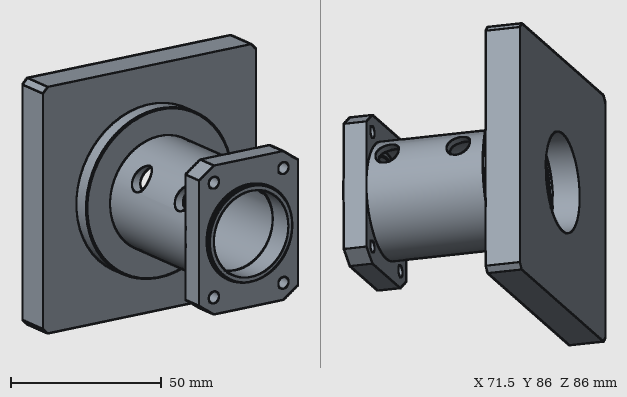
import cadquery as cq

plate_side = 86.0
plate_thickness = 12.0
plate_chamfer = 2.0

shoulder_diameter = 59.0
shoulder_end = 18.0
shoulder_chamfer = 0.35
tube_diameter = 40.0

flange_start = 62.0
flange_end = 70.0
flange_width = tube_diameter
flange_height = 51.95
flange_corner_y = 6.0
flange_corner_z = 4.1
lip_diameter = 34.0
lip_end = 71.5
lip_chamfer_length = 0.7
lip_chamfer_depth = 0.35

bore_diameter = lip_diameter
outlet_diameter = 30.0
outlet_start = 62.0
outlet_chamfer = 0.3
groove_start = 9.5
groove_width = 1.0
groove_diameter = 35.3

cross_hole_diameter = 8.0
cross_hole_height = 11.3
cross_hole_positions = (31.0, 56.0)
screw_hole_diameter = 4.1
screw_spacing_y = 28.0
screw_spacing_z = 40.0


def cylinder_along_x(diameter, start, end):
    return cq.Workplane("YZ", origin=(start, 0, 0)).circle(diameter / 2).extrude(end - start)


def make_plate():
    plate = cq.Workplane("YZ").rect(plate_side, plate_side).extrude(plate_thickness)
    return plate.edges("|X").chamfer(plate_chamfer)


def make_shoulder():
    shoulder = cylinder_along_x(shoulder_diameter, plate_thickness, shoulder_end)
    return shoulder.faces(">X").edges().chamfer(shoulder_chamfer)


def make_flange():
    half_width = flange_width / 2
    half_height = flange_height / 2
    inner_y = half_width - flange_corner_y
    inner_z = half_height - flange_corner_z
    outline = [
        (half_width, -inner_z),
        (half_width, inner_z),
        (inner_y, half_height),
        (-inner_y, half_height),
        (-half_width, inner_z),
        (-half_width, -inner_z),
        (-inner_y, -half_height),
        (inner_y, -half_height),
    ]
    flange = cq.Workplane("YZ", origin=(flange_start, 0, 0))
    return flange.polyline(outline).close().extrude(flange_end - flange_start)


def make_lip():
    lip = cylinder_along_x(lip_diameter, flange_end, lip_end)
    return lip.faces(">X").edges().chamfer(lip_chamfer_length, lip_chamfer_depth)


def make_bore():
    outlet = cylinder_along_x(outlet_diameter, outlet_start, lip_end)
    mouth = cq.Workplane("YZ", origin=(outlet_start, 0, 0)).circle(outlet_diameter / 2 + outlet_chamfer)
    mouth = mouth.extrude(outlet_chamfer, taper=45)
    main_bore = cylinder_along_x(bore_diameter, 0, outlet_start)
    groove = cylinder_along_x(groove_diameter, groove_start, groove_start + groove_width)
    return outlet.union(mouth).union(main_bore).union(groove)


def make_cross_holes():
    centers = [(x, cross_hole_height) for x in cross_hole_positions]
    holes = cq.Workplane("XZ").pushPoints(centers).circle(cross_hole_diameter / 2)
    return holes.extrude(tube_diameter / 2, both=True)


def make_screw_holes():
    holes = cq.Workplane("YZ", origin=(flange_start, 0, 0))
    holes = holes.rect(screw_spacing_y, screw_spacing_z, forConstruction=True).vertices()
    return holes.circle(screw_hole_diameter / 2).extrude(flange_end - flange_start)


tube = cylinder_along_x(tube_diameter, plate_thickness, flange_start)
body = make_plate().union(make_shoulder()).union(tube).union(make_flange()).union(make_lip())
result = body.cut(make_bore()).cut(make_cross_holes()).cut(make_screw_holes())